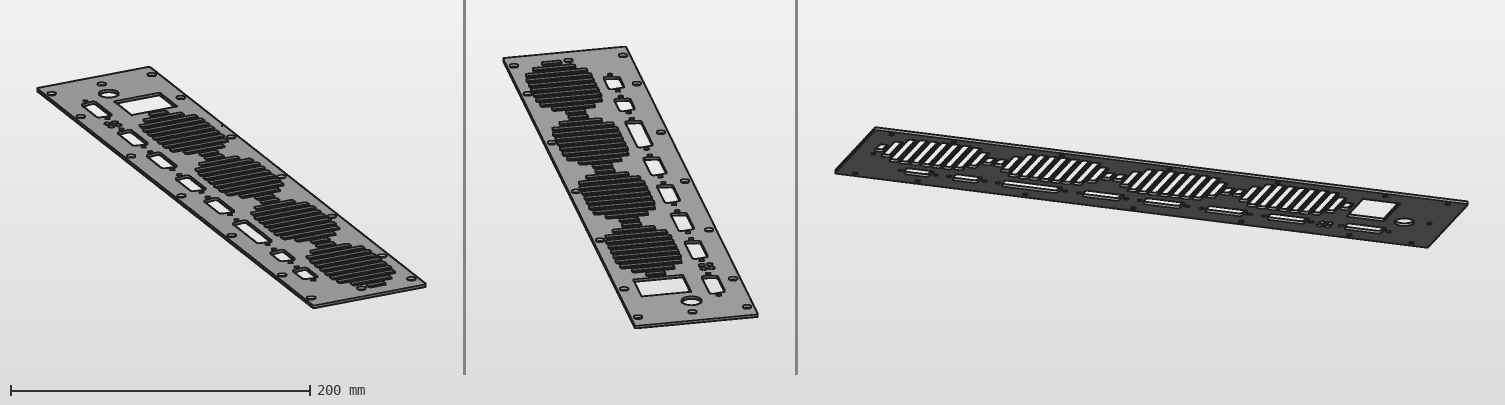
import cadquery as cq

LENGTH = 419.0
WIDTH = 84.2
THICKNESS = 2.0
CORNER_RADIUS = 1.3

INNER_SCREW_COLUMNS = 5
SCREW_PITCH = 76.3
SCREW_END_PITCH = 44.0
SCREW_ROW_PITCH = 37.5
SCREW_HOLE = 3.2
SCREW_HEAD = 6.0
SCREW_HEAD_ANGLE = 90

FAN_COUNT = 4
FAN_PITCH = 84.2
FIRST_FAN_X = -96.0
FAN_Y = 11.7
SLOT_WIDTH = 6.3
SLOT_WALL = 1.35
SLOT_PITCH = SLOT_WIDTH + SLOT_WALL
SLOT_CORNER = 1.5
CENTRE_SLOT_HEIGHT = 44.5
OUTER_SLOT_HEIGHTS = [42.0, 29.0, 13.0]
EQUAL_SLOTS_EACH_SIDE = 2

INLET_X = -153.0
INLET_Y = 11.5
INLET_LENGTH = 26.5
INLET_WIDTH = 34.0
SWITCH_X = -180.0
SWITCH_Y = -3.0
SWITCH_DIAMETER = 13.5

CLUSTER_X = -130.8
CLUSTER_Y = -24.0
CLUSTER_PITCH = 5.5
CLUSTER_HOLE = 4.0

CONNECTOR_Y = -22.5
CONNECTOR_HEIGHT = 11.0
CONNECTOR_CORNER = 2.0
CONNECTOR_TAPER = 1.5
JACK_HOLE = 3.2
JACK_CLEARANCE = 5.0
JACK_9 = 25.0
JACK_15 = 33.5
JACK_25 = 47.0
CONNECTORS = [
    (-158.5, JACK_15),
    (-104.0, JACK_15),
    (-60.5, JACK_15),
    (-16.5, JACK_15),
    (27.0, JACK_15),
    (77.0, JACK_25),
    (123.0, JACK_9),
    (157.0, JACK_9),
]


def make_panel():
    panel = cq.Workplane("XY").box(LENGTH, WIDTH, THICKNESS, centered=(True, True, False))
    return panel.edges("|Z").fillet(CORNER_RADIUS)


def screw_points():
    middle = (INNER_SCREW_COLUMNS - 1) / 2
    inner_x = [(i - middle) * SCREW_PITCH for i in range(INNER_SCREW_COLUMNS)]
    end_x = inner_x[-1] + SCREW_END_PITCH
    columns = [-end_x] + inner_x + [end_x]
    points = [(x, side * SCREW_ROW_PITCH) for x in columns for side in (-1, 1)]
    return points + [(-end_x, 0), (end_x, 0)]


def round_holes(points, diameter):
    return cq.Workplane("XY").pushPoints(points).circle(diameter / 2).extrude(THICKNESS)


def rounded_slot(x, y, width, height):
    slot = cq.Workplane("XY").center(x, y).rect(width, height).extrude(THICKNESS)
    return slot.edges("|Z").fillet(SLOT_CORNER)


def fan_grille(x):
    equal_heights = [CENTRE_SLOT_HEIGHT] * (2 * EQUAL_SLOTS_EACH_SIDE + 1)
    heights = OUTER_SLOT_HEIGHTS[::-1] + equal_heights + OUTER_SLOT_HEIGHTS
    middle = (len(heights) - 1) / 2
    slots = cq.Workplane("XY")
    for i, height in enumerate(heights):
        slots = slots.add(rounded_slot(x + (i - middle) * SLOT_PITCH, FAN_Y, SLOT_WIDTH, height))
    return slots


def connector_opening(x, jack_distance):
    half_top = (jack_distance - JACK_CLEARANCE) / 2
    half_bottom = half_top - CONNECTOR_TAPER
    top = CONNECTOR_Y + CONNECTOR_HEIGHT / 2
    bottom = CONNECTOR_Y - CONNECTOR_HEIGHT / 2
    outline = [
        (x - half_top, top),
        (x + half_top, top),
        (x + half_bottom, bottom),
        (x - half_bottom, bottom),
    ]
    opening = cq.Workplane("XY").polyline(outline).close().extrude(THICKNESS)
    return opening.edges("|Z").fillet(CONNECTOR_CORNER)


def jack_points(x, jack_distance):
    return [(x + side * jack_distance / 2, CONNECTOR_Y) for side in (-1, 1)]


def inlet_window():
    return cq.Workplane("XY").center(INLET_X, INLET_Y).rect(INLET_LENGTH, INLET_WIDTH).extrude(THICKNESS)


def cluster_points():
    offsets = (-CLUSTER_PITCH / 2, CLUSTER_PITCH / 2)
    return [(CLUSTER_X + dx, CLUSTER_Y + dy) for dx in offsets for dy in offsets]


result = (
    make_panel()
    .faces(">Z")
    .workplane(origin=(0, 0, THICKNESS))
    .pushPoints(screw_points())
    .cskHole(SCREW_HOLE, SCREW_HEAD, SCREW_HEAD_ANGLE)
)

for fan in range(FAN_COUNT):
    result = result.cut(fan_grille(FIRST_FAN_X + fan * FAN_PITCH))

result = result.cut(inlet_window())
result = result.cut(round_holes([(SWITCH_X, SWITCH_Y)], SWITCH_DIAMETER))
result = result.cut(round_holes(cluster_points(), CLUSTER_HOLE))

for connector_x, jack_distance in CONNECTORS:
    result = result.cut(connector_opening(connector_x, jack_distance))
    result = result.cut(round_holes(jack_points(connector_x, jack_distance), JACK_HOLE))